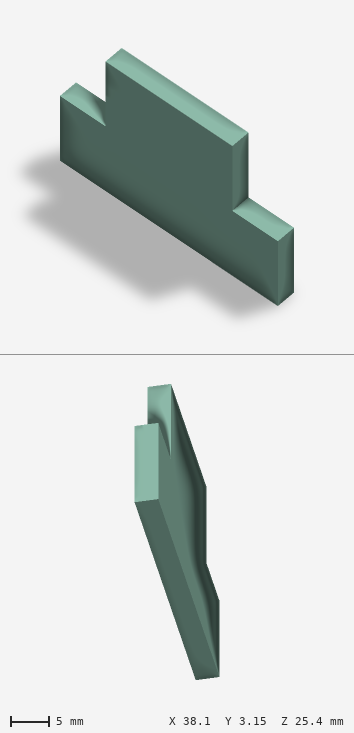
import cadquery as cq

base_width = 38.1
total_height = 25.4
thickness = 3.15
shoulder_width = 7.95

base_height = total_height / 2
upper_width = base_width - 2 * shoulder_width


def plate(width, height):
    """Upright plate centred on X and Y, standing on Z = 0."""
    return cq.Workplane("XY").box(width, thickness, height, centered=(True, True, False))


base = plate(base_width, base_height)
upper = plate(upper_width, total_height)
result = base.union(upper).clean()